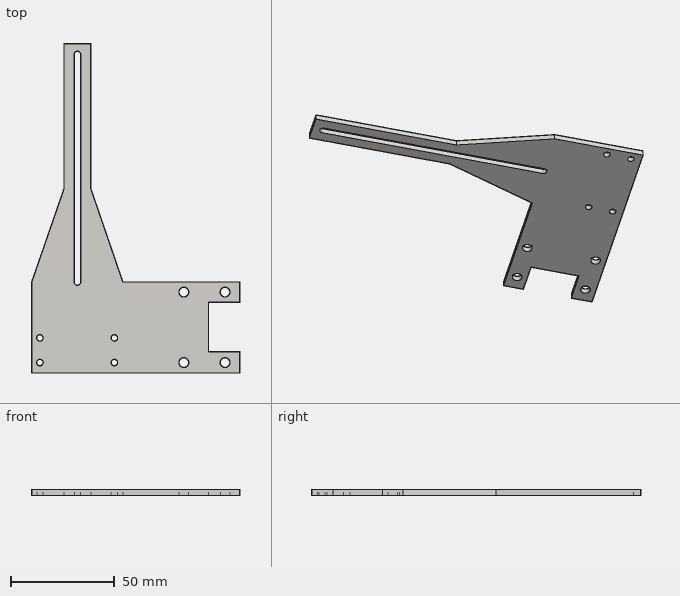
import cadquery as cq

width = 100.5
length = 159.1
thickness = 3.0

base_depth = 44.0
notch_depth = 15.1
notch_bottom = 10.3
notch_top = 34.2

arm_left = 15.6
arm_width = 13.0
arm_start = 89.1
neck_base_width = 44.0
arm_right = arm_left + arm_width

slot_width = 3.0
slot_bottom = 42.5
slot_top = 155.5
slot_x = arm_left + arm_width / 2

lug_hole_diameter = 4.6
lug_hole_xs = (73.5, 93.4)
lug_hole_ys = (5.1, 39.1)

small_hole_diameter = 3.0
small_hole_xs = (4.0, 40.0)
small_hole_ys = (5.1, 17.0)


def make_plate():
    """Flat plate with its lower left corner at the origin."""
    outline = [
        (0, 0),
        (width, 0),
        (width, notch_bottom),
        (width - notch_depth, notch_bottom),
        (width - notch_depth, notch_top),
        (width, notch_top),
        (width, base_depth),
        (neck_base_width, base_depth),
        (arm_right, arm_start),
        (arm_right, length),
        (arm_left, length),
        (arm_left, arm_start),
        (0, base_depth),
    ]
    return cq.Workplane("XY").polyline(outline).close().extrude(thickness)


def drill_grid(plate, xs, ys, diameter):
    """Drill a through hole at every crossing of xs and ys."""
    centers = [(x, y) for x in xs for y in ys]
    drills = cq.Workplane("XY").pushPoints(centers).circle(diameter / 2).extrude(thickness)
    return plate.cut(drills)


def cut_slot(plate):
    """Cut the round-ended slot through the arm and neck."""
    slot = (
        cq.Workplane("XY")
        .center(slot_x, (slot_bottom + slot_top) / 2)
        .slot2D(slot_top - slot_bottom, slot_width, 90)
        .extrude(thickness)
    )
    return plate.cut(slot)


result = make_plate()
result = drill_grid(result, lug_hole_xs, lug_hole_ys, lug_hole_diameter)
result = drill_grid(result, small_hole_xs, small_hole_ys, small_hole_diameter)
result = cut_slot(result)